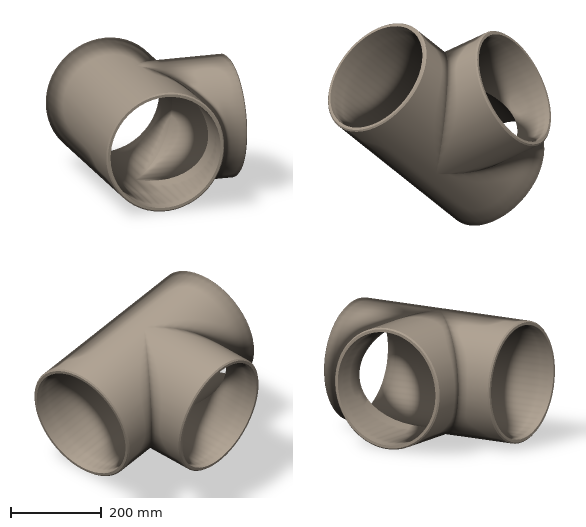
import cadquery as cq

run_length = 432.0
outer_diameter = 273.0
wall = 9.0
end_chamfer = 3.0

outer_radius = outer_diameter / 2
inner_radius = outer_radius - wall
branch_length = run_length / 2


def pipe_solid(radius, start, direction, length):
    """Solid cylinder from a start point along a direction."""
    cylinder = cq.Solid.makeCylinder(radius, length, cq.Vector(*start), cq.Vector(*direction))
    return cq.Workplane(cylinder)


run_start = (-run_length / 2, 0, 0)
run_direction = (1, 0, 0)
branch_start = (0, 0, 0)
branch_direction = (0, 1, 0)

run = pipe_solid(outer_radius, run_start, run_direction, run_length)
run = run.faces("<X or >X").chamfer(end_chamfer)
branch = pipe_solid(outer_radius, branch_start, branch_direction, branch_length)
branch = branch.faces(">Y").chamfer(end_chamfer)

run_bore = pipe_solid(inner_radius, run_start, run_direction, run_length)
branch_bore = pipe_solid(inner_radius, branch_start, branch_direction, branch_length)

result = run.union(branch).cut(run_bore).cut(branch_bore)